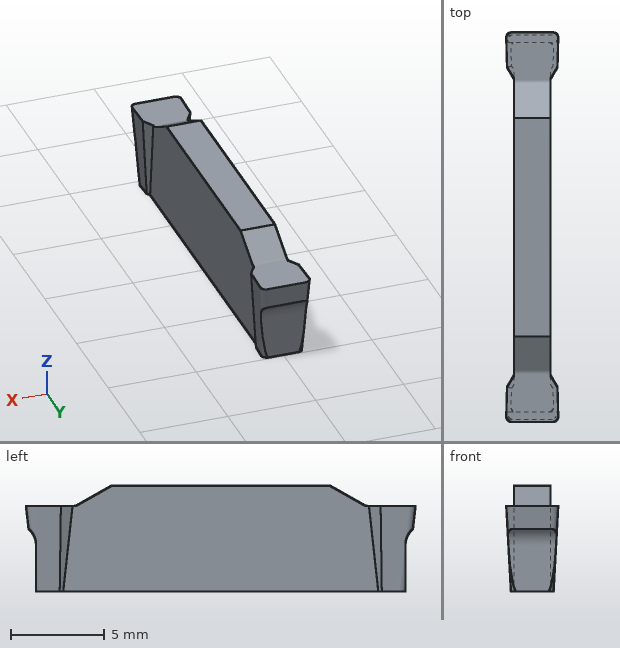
import cadquery as cq
import math

length = 20.87
height = 5.68
half_length = length / 2

blade_width = 1.96
seat_height = 4.6
ramp_start = 2.67
ramp_end = 4.6
ramp_blend_radius = 0.4
blade_hidden_start = 1.46

corner_radius = 0.31
top_front_half = 1.4
top_shoulder_half = 1.35
top_shoulder = 1.88
top_neck = 2.5
bottom_front = 0.55
bottom_front_half = 1.15
bottom_shoulder_half = 1.1
bottom_shoulder = 1.82
bottom_neck = 2.0

relief_depth = bottom_front
relief_arc_bottom = 2.5
relief_arc_top = 3.38
relief_arc_end_depth = 0.13


def head_outline(z, front, front_half, shoulder, shoulder_half, neck):
    """Closed outline of the head near the -Y end at height z."""
    diagonal_inset = corner_radius * (1 - math.sqrt(0.5))
    neck_half = blade_width / 2
    front_y = front - half_length
    shoulder_y = shoulder - half_length
    neck_y = neck - half_length
    corner_y = front_y + corner_radius
    flat_half = front_half - corner_radius
    arc_x = front_half - diagonal_inset
    arc_y = front_y + diagonal_inset
    return (
        cq.Workplane("XY", origin=(0, 0, z))
        .moveTo(-flat_half, front_y)
        .lineTo(flat_half, front_y)
        .threePointArc((arc_x, arc_y), (front_half, corner_y))
        .lineTo(shoulder_half, shoulder_y)
        .lineTo(neck_half, neck_y)
        .lineTo(-neck_half, neck_y)
        .lineTo(-shoulder_half, shoulder_y)
        .lineTo(-front_half, corner_y)
        .threePointArc((-arc_x, arc_y), (-flat_half, front_y))
        .close()
        .val()
    )


def make_relief_cutter():
    """Material removed from the front of the head under its cutting edge."""
    clearance = 0.2
    cutter_half_width = top_front_half + clearance
    run = relief_depth - relief_arc_end_depth
    rise = relief_arc_top - relief_arc_bottom
    radius = (run**2 + rise**2) / (2 * run)
    half_angle = math.asin(rise / radius) / 2
    middle_depth = relief_depth - radius * (1 - math.cos(half_angle))
    middle_z = relief_arc_bottom + radius * math.sin(half_angle)
    return (
        cq.Workplane("YZ")
        .moveTo(-clearance, -clearance)
        .lineTo(relief_depth, -clearance)
        .lineTo(relief_depth, relief_arc_bottom)
        .threePointArc((middle_depth, middle_z), (relief_arc_end_depth, relief_arc_top))
        .lineTo(-clearance, relief_arc_top)
        .close()
        .extrude(cutter_half_width, both=True)
        .translate((0, -half_length, 0))
    )


def make_head():
    """Tapered head at the -Y end with its front relief."""
    bottom = head_outline(
        0, bottom_front, bottom_front_half, bottom_shoulder, bottom_shoulder_half, bottom_neck
    )
    top = head_outline(
        seat_height, 0, top_front_half, top_shoulder, top_shoulder_half, top_neck
    )
    tapered = cq.Workplane(cq.Solid.makeLoft([bottom, top], True))
    return tapered.cut(make_relief_cutter())


def make_blade():
    """Central blade with a ramp up from each head to its raised top."""
    hidden_y = half_length - blade_hidden_start
    ramp_foot_y = half_length - ramp_start
    ramp_top_y = half_length - ramp_end
    blade = (
        cq.Workplane("YZ")
        .polyline([
            (-hidden_y, 0),
            (hidden_y, 0),
            (hidden_y, seat_height),
            (ramp_foot_y, seat_height),
            (ramp_top_y, height),
            (-ramp_top_y, height),
            (-ramp_foot_y, seat_height),
            (-hidden_y, seat_height),
        ])
        .close()
        .extrude(blade_width / 2, both=True)
    )
    edge_reach = 0.02
    ramp_feet = cq.selectors.BoxSelector(
        (-blade_width, -ramp_foot_y - edge_reach, seat_height - edge_reach),
        (blade_width, ramp_foot_y + edge_reach, seat_height + edge_reach),
    )
    return blade.edges("|X").edges(ramp_feet).fillet(ramp_blend_radius)


head = make_head()
opposite_head = head.mirror("XZ")
result = make_blade().union(head).union(opposite_head).clean()